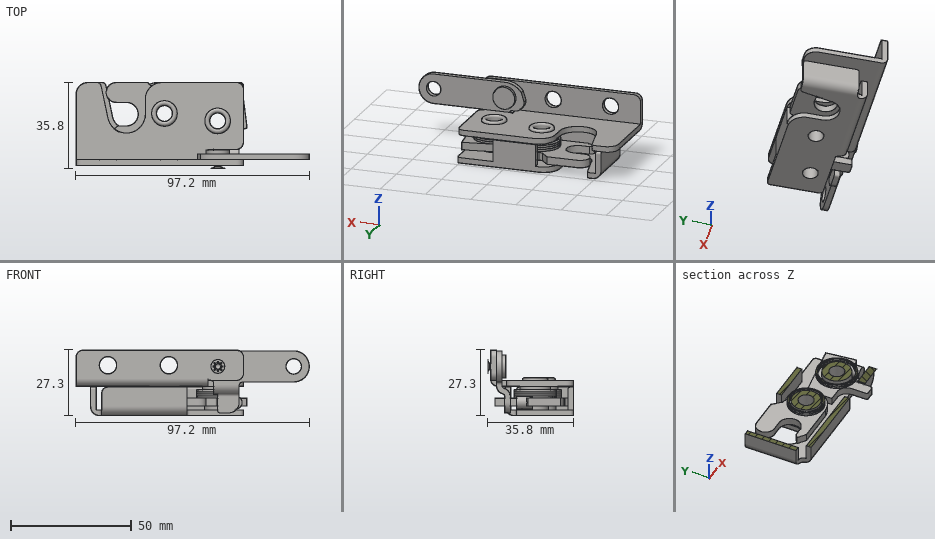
import cadquery as cq
import math

total_length = 97.2
sheet = 2.4
corner_radius = 3.0

plate_length = 69.8
plate_depth = 34.6
plate_bottom = 12.25
plate_top = plate_bottom + sheet
flange_top = 27.3
flange_bend_radius = 3.0
bend_length = 55.0
lever_gap_depth = 6.7
cover_left_corner = 5.0
flange_hole_diameter = 7.1
flange_hole_x = (13.3, 38.7)
flange_hole_z = 21.0

slot_x = 21.0
slot_y = 21.4
cover_slot_radius = 7.9
base_slot_radius = 5.8
slot_flare_radius = 7.0
slot_wall_angle = 12.0
slot_lip_radius = 1.75

base_left = 6.0
wall_front = 6.0
wall_top = 12.0
front_wall_left = 10.7
front_wall_right = 46.3
left_wall_front = 10.8
back_wall_left = 35.0
back_wall_right = 53.9
tray_bend_radius = 3.8
front_wall_corner = 2.5
left_wall_corner = 1.2
relief_radius = 2.0
base_corner = 1.5

pivots = ((36.8, 21.7), (59.0, 18.6))
bore_diameter = 6.5
collar_diameter = 12.7
foot_diameter = 11.1
lip_diameter = 10.7
lip_height = 1.2

latch_bottom = 4.0
latch_top = 7.3
throat_radius = 4.9
rotor_hub_radius = 8.9
finger_x = 16.7
rotor_shoulder = ((29.9, plate_depth), (33.25, 30.9))
rotor_hub_side = (42.8, 28.2)
jaw_front = 12.6
jaw_front_left = 19.4
jaw_tip = ((15.8, 15.3), (17.6, slot_y - throat_radius))
pawl_front = 13.6
pawl_left = 44.7
pawl_back_left = 25.3
pawl_back_right = (69.6, 29.2)
pawl_nose_right = 71.2
pawl_nose_front = 15.2
pawl_nose_corner = 15.6
pawl_nose_back = 17.0
pawl_tail_left = 54.1
pawl_tail_right = 58.8
pawl_tail_front = 1.75
pawl_tail_fillet = 4.3
pawl_tail_round = 0.9

pin_x = 66.6
pin_z = 5.4
pin_diameter = 5.25
pin_front = 10.9
pin_back = 17.5

wire_diameter = 1.0
coil_pitch = 0.9
coil_count = 4
spring_radii = (7.5, 8.4)

rivet_x = 59.1
rivet_z = 20.5
shank_diameter = 4.9
flare_neck_diameter = 2.3
flare_neck_length = 0.4
flare_diameter = 4.3
rim_diameter = 5.7
rim_length = 0.2
flare_length = 1.2
dimple_diameter = 3.2
dimple_depth = 0.6
petal_count = 8
petal_slot_width = 0.4
rivet_head_diameter = 9.7
rivet_head_length = 1.6

arm_radius = 6.5
arm_hole_diameter = 6.3
arm_bottom_left = 14.8
arm_nose_left = 50.7
arm_nose_bottom = 19.3
arm_nose_shoulder = (51.9, 23.3)
tab_left = 57.4
lobe_left = 59.0
tab_right = 68.0
tab_bottom = 1.2
tab_fillet = 1.5
lobe_left_round = 1.0
lobe_right_round = 4.3
jog_start = 12.6
jog_depth = 3.4
jog_outer_radius = 3.8
jog_reverse_radius = 1.2


def box(x0, x1, y0, y1, z0, z1):
    return cq.Workplane("XY").box(x1 - x0, y1 - y0, z1 - z0, centered=False).translate((x0, y0, z0))


def upright_cylinder(center, diameter, z0, z1):
    return cq.Workplane("XY", origin=(*center, z0)).circle(diameter / 2).extrude(z1 - z0)


def cross_cylinder(x, z, diameter, y0, y1):
    """Cylinder along Y."""
    return cq.Workplane("XZ", origin=(x, y0, z)).circle(diameter / 2).extrude(y0 - y1)


def striker_slot(radius, z0, z1):
    """U-shaped slot open at the back, with a leaning left wall and a flared right wall.

    Returns the slot and the X of its left wall at the mouth.
    """
    lean = math.radians(slot_wall_angle)
    right = slot_x + radius
    flare_y = plate_depth - slot_flare_radius
    flare_mid = slot_flare_radius * (1 - math.sqrt(0.5))
    tangent_x = slot_x - radius * math.cos(lean)
    tangent_y = slot_y - radius * math.sin(lean)
    mouth_x = tangent_x - (plate_depth - tangent_y) * math.tan(lean)
    slot = (
        cq.Workplane("XY", origin=(0, 0, z0))
        .moveTo(mouth_x, plate_depth)
        .lineTo(tangent_x, tangent_y)
        .threePointArc((slot_x, slot_y - radius), (right, slot_y))
        .lineTo(right, flare_y)
        .threePointArc(
            (right + flare_mid, plate_depth - flare_mid), (right + slot_flare_radius, plate_depth)
        )
        .close()
        .extrude(z1 - z0)
    )
    return slot, mouth_x


def cut_striker_slot(plate, radius, z0, z1):
    """Cut the slot and round the lip on the left of its mouth."""
    slot, mouth_x = striker_slot(radius, z0, z1)
    reach = slot_lip_radius / 4
    lip = cq.selectors.BoxSelector(
        (mouth_x - reach, plate_depth - reach, z0 - reach),
        (mouth_x + reach, plate_depth + reach, z1 + reach),
    )
    return plate.cut(slot).edges(lip).fillet(slot_lip_radius)


def make_cover():
    top = (
        box(0, plate_length, lever_gap_depth, plate_depth, plate_bottom, plate_top)
        .edges("|Z and >X").fillet(corner_radius)
        .edges("|Z and <X and >Y").fillet(cover_left_corner)
    )
    top = cut_striker_slot(top, cover_slot_radius, plate_bottom, plate_top)
    bend = (
        box(0, bend_length, 0, lever_gap_depth, plate_bottom, flange_top)
        .cut(box(0, bend_length, sheet, lever_gap_depth, plate_top, flange_top))
        .edges("|X and <Y and <Z").fillet(flange_bend_radius)
        .edges("|Y and <X and >Z").fillet(corner_radius)
    )
    flange_end = (
        box(bend_length, plate_length, 0, sheet, plate_top, flange_top)
        .edges("|Y and >X").fillet(corner_radius)
    )
    cover = top.union(bend).union(flange_end)
    for x in flange_hole_x:
        cover = cover.cut(cross_cylinder(x, flange_hole_z, flange_hole_diameter, 0, sheet))
    return cover


def make_base():
    inner_corner = cq.selectors.NearestToPointSelector((front_wall_right, left_wall_front, sheet / 2))
    floor = (
        box(base_left, plate_length, wall_front, plate_depth, 0, sheet)
        .cut(box(front_wall_right, plate_length, 0, left_wall_front, 0, sheet))
        .edges("|Z and >X").fillet(base_corner)
        .edges(inner_corner).fillet(base_corner)
    )
    left_wall = (
        box(base_left, base_left + sheet, left_wall_front, plate_depth, 0, wall_top)
        .edges("|X and >Z").fillet(left_wall_corner)
    )
    front_wall = (
        box(front_wall_left, front_wall_right, wall_front, wall_front + sheet, 0, wall_top)
        .edges("|Y and <X and >Z").fillet(front_wall_corner)
    )
    back_wall = (
        box(back_wall_left, back_wall_right, plate_depth - sheet, plate_depth, 0, wall_top)
        .edges("|X and <Y and >Z").fillet(left_wall_corner)
    )
    base = floor.union(left_wall).union(front_wall)
    corner_relief = (
        box(base_left, front_wall_left, wall_front, left_wall_front, 0, sheet)
        .edges("|Z and >X and >Y").fillet(relief_radius)
    )
    base = base.cut(corner_relief)
    base = base.edges("(|X and <Y and <Z) or (|Y and <X and <Z)").fillet(tray_bend_radius)
    return cut_striker_slot(base, base_slot_radius, 0, sheet).union(back_wall)


def make_rotor():
    finger_y = (plate_depth + slot_y + throat_radius) / 2
    finger_radius = plate_depth - finger_y
    arms = (
        cq.Workplane("XY", origin=(0, 0, latch_bottom))
        .moveTo(finger_x, plate_depth)
        .lineTo(*rotor_shoulder[0])
        .lineTo(*rotor_shoulder[1])
        .lineTo(*rotor_hub_side)
        .lineTo(pivots[0][0], jaw_front)
        .lineTo(jaw_front_left, jaw_front)
        .lineTo(*jaw_tip[0])
        .lineTo(*jaw_tip[1])
        .lineTo(slot_x, slot_y - throat_radius)
        .threePointArc((slot_x + throat_radius, slot_y), (slot_x, slot_y + throat_radius))
        .lineTo(finger_x, slot_y + throat_radius)
        .threePointArc((finger_x - finger_radius, finger_y), (finger_x, plate_depth))
        .close()
        .extrude(latch_top - latch_bottom)
    )
    return arms.union(upright_cylinder(pivots[0], 2 * rotor_hub_radius, latch_bottom, latch_top))


def make_pawl():
    fillet_mid = pawl_tail_fillet * math.sqrt(0.5)
    fillet_start_x = pawl_tail_left - pawl_tail_fillet
    fillet_end_y = pawl_front - pawl_tail_fillet
    pawl = (
        cq.Workplane("XY", origin=(0, 0, latch_bottom))
        .moveTo(pawl_left, pawl_front)
        .lineTo(fillet_start_x, pawl_front)
        .threePointArc(
            (fillet_start_x + fillet_mid, fillet_end_y + fillet_mid), (pawl_tail_left, fillet_end_y)
        )
        .lineTo(pawl_tail_left, pawl_tail_front)
        .lineTo(pawl_tail_right, pawl_tail_front)
        .lineTo(pawl_tail_right, pawl_front)
        .lineTo(plate_length, pawl_nose_front)
        .lineTo(pawl_nose_right, pawl_nose_corner)
        .lineTo(pawl_nose_right, pawl_nose_back)
        .lineTo(*pawl_back_right)
        .lineTo(pawl_left, pawl_back_left)
        .close()
        .extrude(latch_top - latch_bottom)
        .edges("|Z and <Y").fillet(pawl_tail_round)
    )
    return pawl.union(cross_cylinder(pin_x, pin_z, pin_diameter, pin_front, pin_back))


def make_spring(center, coil_radius):
    """Close-wound coils, each drawn as a ring that runs into the next."""
    first_coil = latch_top + coil_pitch / 2
    spring = None
    for i in range(coil_count):
        z = first_coil + i * coil_pitch
        ring = cq.Workplane(cq.Solid.makeTorus(coil_radius, wire_diameter / 2, cq.Vector(*center, z)))
        spring = ring if spring is None else spring.union(ring)
    return spring


def make_bushing(center):
    """Stepped collar between the plates and a rounded lip on top of the cover."""
    foot = upright_cylinder(center, foot_diameter, sheet, latch_bottom)
    collar = upright_cylinder(center, collar_diameter, latch_bottom, plate_bottom)
    bore_radius = bore_diameter / 2
    lip_radius = lip_diameter / 2
    rounding_start = lip_height - (lip_radius - bore_radius) / 2
    lip = (
        cq.Workplane("XZ")
        .moveTo(bore_radius, -sheet)
        .lineTo(lip_radius, -sheet)
        .lineTo(lip_radius, rounding_start)
        .threePointArc(((bore_radius + lip_radius) / 2, lip_height), (bore_radius, rounding_start))
        .close()
        .revolve(360, (0, 0), (0, 1))
        .translate((*center, plate_top))
    )
    return foot.union(collar).union(lip)


def make_rivet():
    """Head behind the lever, shank through lever and flange, flared end in front."""
    head_start = 2 * sheet
    profile = [
        (0, dimple_depth - flare_length),
        (dimple_diameter / 2, -flare_length),
        (rim_diameter / 2, -flare_length),
        (flare_diameter / 2, rim_length - flare_length),
        (flare_neck_diameter / 2, -flare_neck_length),
        (flare_neck_diameter / 2, 0),
        (shank_diameter / 2, 0),
        (shank_diameter / 2, head_start),
        (rivet_head_diameter / 2, head_start),
        (rivet_head_diameter / 2, head_start + rivet_head_length),
        (0, head_start + rivet_head_length),
    ]
    rivet = cq.Workplane("XY").polyline(profile).close().revolve(360, (0, 0), (0, 1))
    for i in range(petal_count):
        slot = (
            box(0, flare_diameter / 2, -flare_length, rim_length - flare_length,
                -petal_slot_width / 2, petal_slot_width / 2)
            .rotate((0, 0, 0), (0, 1, 0), i * 360 / petal_count)
        )
        rivet = rivet.cut(slot)
    return rivet.translate((rivet_x, 0, rivet_z))


def make_housing():
    housing = make_cover().union(make_base()).union(make_rotor()).union(make_pawl())
    for center, coil_radius in zip(pivots, spring_radii):
        housing = housing.union(make_bushing(center)).union(make_spring(center, coil_radius))
    for center in pivots:
        housing = housing.cut(upright_cylinder(center, bore_diameter, 0, plate_top + lip_height))
    return housing.union(make_rivet())


def lever_section():
    """Side section of the lever sheet: straight arm, joggle towards the back, straight tab."""
    front = sheet
    back = 2 * sheet
    bend_sum = jog_outer_radius + jog_reverse_radius
    turn = math.acos(1 - jog_depth / bend_sum)
    upper_y = front + jog_outer_radius
    lower_y = front + jog_depth - jog_reverse_radius
    lower_z = jog_start - bend_sum * math.sin(turn)

    def on_upper(radius, angle):
        return upper_y - radius * math.cos(angle), jog_start - radius * math.sin(angle)

    def on_lower(radius, angle):
        return lower_y + radius * math.cos(angle), lower_z + radius * math.sin(angle)

    inner = jog_outer_radius - sheet
    reverse_back = jog_reverse_radius + sheet
    top = rivet_z + arm_radius
    return (
        cq.Workplane("YZ", origin=(rivet_x - 2 * arm_radius, 0, 0))
        .moveTo(front, top)
        .lineTo(front, jog_start)
        .threePointArc(on_upper(jog_outer_radius, turn / 2), on_upper(jog_outer_radius, turn))
        .threePointArc(on_lower(jog_reverse_radius, turn / 2), on_lower(jog_reverse_radius, 0))
        .lineTo(front + jog_depth, tab_bottom)
        .lineTo(back + jog_depth, tab_bottom)
        .lineTo(back + jog_depth, lower_z)
        .threePointArc(on_lower(reverse_back, turn / 2), on_lower(reverse_back, turn))
        .threePointArc(on_upper(inner, turn / 2), on_upper(inner, 0))
        .lineTo(back, top)
        .close()
        .extrude(total_length)
    )


def lever_outline():
    """Front outline of the lever, as a block deep enough to trim the section."""
    arm_top = rivet_z + arm_radius
    arm_bottom = rivet_z - arm_radius
    arm_end = total_length - arm_radius
    nose_radius = arm_nose_bottom - arm_bottom_left
    step_z = jog_start - jog_outer_radius
    return (
        cq.Workplane("XZ")
        .moveTo(arm_end, arm_top)
        .lineTo(rivet_x, arm_top)
        .tangentArcPoint(arm_nose_shoulder, relative=False)
        .lineTo(arm_nose_left, arm_nose_bottom)
        .radiusArc((arm_nose_left + nose_radius, arm_bottom_left), -nose_radius)
        .lineTo(tab_left - tab_fillet, arm_bottom_left)
        .radiusArc((tab_left, arm_bottom_left - tab_fillet), tab_fillet)
        .lineTo(tab_left, step_z)
        .lineTo(lobe_left, step_z)
        .lineTo(lobe_left, tab_bottom + lobe_left_round)
        .radiusArc((lobe_left + lobe_left_round, tab_bottom), -lobe_left_round)
        .lineTo(tab_right - lobe_right_round, tab_bottom)
        .radiusArc((tab_right, tab_bottom + lobe_right_round), -lobe_right_round)
        .lineTo(tab_right, arm_bottom - tab_fillet)
        .radiusArc((tab_right + tab_fillet, arm_bottom), tab_fillet)
        .lineTo(arm_end, arm_bottom)
        .threePointArc((total_length, rivet_z), (arm_end, arm_top))
        .close()
        .extrude(-plate_depth)
    )


def make_lever():
    lever = lever_section().intersect(lever_outline())
    lever = lever.cut(cross_cylinder(rivet_x, rivet_z, shank_diameter, sheet, 2 * sheet))
    end_hole_x = total_length - arm_radius
    return lever.cut(cross_cylinder(end_hole_x, rivet_z, arm_hole_diameter, sheet, 2 * sheet))


housing = make_housing()
lever = make_lever()

result = cq.Compound.makeCompound([housing.val(), lever.val()])